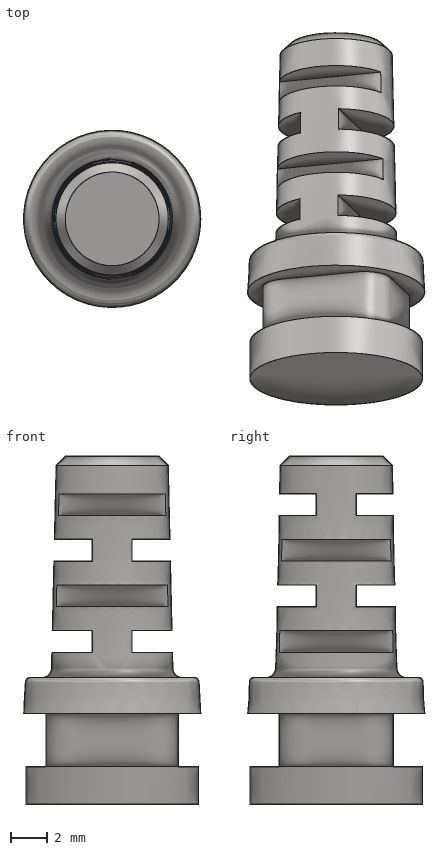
import cadquery as cq
import math

total_height = 19.2
base_height = 2.1
flange_bottom = 5.01
flange_top = 7.0

base_radius = 4.76

neck_length_x = 7.3
neck_length_y = 6.3
neck_corner_radius = 1.5

flange_bottom_diameter = 9.77
flange_draft_angle = 3.0
flange_edge_fillet = 0.29

stem_bottom_radius = 3.36
stem_draft_angle = 1.3
stem_root_fillet = 0.5
stem_tip_chamfer = 0.5

slot_pairs = 4
slot_height = 1.2
slot_pitch = 2.52
lowest_slot_bottom = 8.4
web_thickness = 2.2


def drafted_cylinder(bottom_radius, bottom, top, draft_angle):
    """Upright cone that narrows upward by the draft angle."""
    height = top - bottom
    top_radius = bottom_radius - height * math.tan(math.radians(draft_angle))
    return cq.Workplane(cq.Solid.makeCone(bottom_radius, top_radius, height, pnt=cq.Vector(0, 0, bottom)))


def make_base_and_neck():
    base = cq.Workplane("XY").circle(base_radius).extrude(base_height)
    neck = (
        cq.Workplane("XY")
        .workplane(offset=base_height)
        .rect(neck_length_x, neck_length_y)
        .extrude(flange_bottom - base_height)
        .edges("|Z")
        .fillet(neck_corner_radius)
    )
    return base.union(neck)


def make_flange_and_stem():
    flange = drafted_cylinder(flange_bottom_diameter / 2, flange_bottom, flange_top, flange_draft_angle)
    flange = flange.faces(">Z").edges().fillet(flange_edge_fillet)
    stem = drafted_cylinder(stem_bottom_radius, flange_top, total_height, stem_draft_angle)
    stem = stem.faces(">Z").edges().chamfer(stem_tip_chamfer)
    joined = flange.union(stem)
    flange_top_face = joined.faces("|Z").faces(">Z[-2]")
    root_edge = flange_top_face.edges(cq.selectors.RadiusNthSelector(0))
    return root_edge.fillet(stem_root_fillet)


def make_slot_pair(bottom, direction_angle):
    """Cutters for two opposite slots that leave a flat web in the middle."""
    slot_length = 2 * stem_bottom_radius
    slot_centre = (web_thickness + slot_length) / 2
    return (
        cq.Workplane("XY")
        .workplane(offset=bottom)
        .pushPoints([(-slot_centre, 0), (slot_centre, 0)])
        .rect(slot_length, slot_length)
        .extrude(slot_height)
        .rotate((0, 0, 0), (0, 0, 1), direction_angle)
    )


result = make_base_and_neck().union(make_flange_and_stem())
for level in range(slot_pairs):
    slot_bottom = lowest_slot_bottom + level * slot_pitch
    result = result.cut(make_slot_pair(slot_bottom, 90 * (level % 2)))